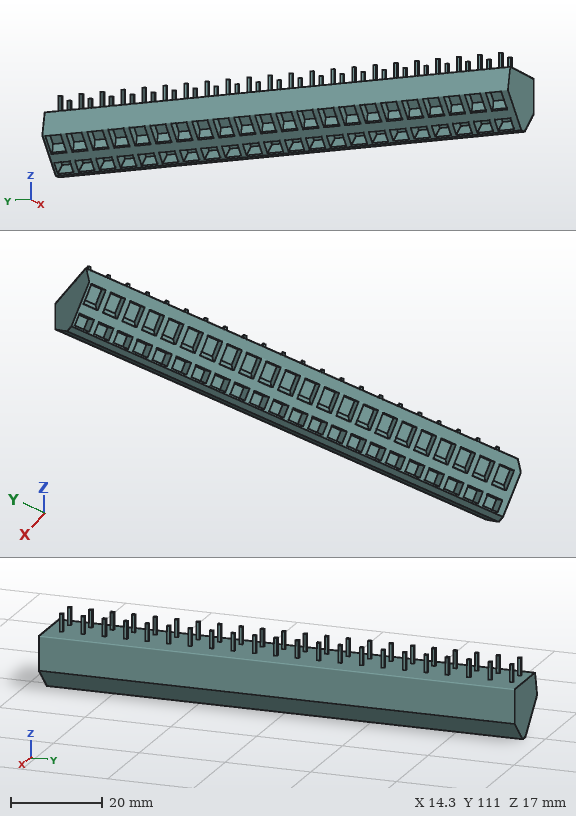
import cadquery as cq
import math


body_width = 14.296
body_length = 111.0
body_height = 13.0
left_edge_depth = 5.55
left_lean = 13.5
edge_radius = 0.25
tip_width = 1.8

pole_count = 22
pole_pitch = 5.0
far_end_margin = 2.5
first_pin_x = 4.3
pin_row_spacing = 5.0
pin_size = 0.7
pin_length = 4.0

lower_hole_width = 3.75
upper_pocket_width = 3.65
lower_hole_margin = 0.45
lower_hole_size = 2.85
lower_hole_depth = 3.5
upper_pocket_margin = 0.2
upper_pocket_size = 4.75
upper_pocket_depth = 2.4
upper_pocket_step = 0.7
upper_wall_taper = 32.5

slope_drop = body_height - left_edge_depth
tip_left_x = slope_drop
tip_right_x = tip_left_x + tip_width
right_edge_z = -body_height + (body_width - tip_right_x)
slope_length = slope_drop * math.sqrt(2)
first_pole_y = body_length - far_end_margin - (pole_count - 1) * pole_pitch
pole_positions = [first_pole_y + i * pole_pitch for i in range(pole_count)]


def prism(points, start_y, length):
    """Extrude an XZ outline along +Y from start_y."""
    plane = cq.Plane(origin=(0, start_y, 0), xDir=(1, 0, 0), normal=(0, -1, 0))
    return cq.Workplane(plane).polyline(points).close().extrude(-length)


def slope_point(along, depth):
    """XZ point from the widest left edge: distance down the slope, depth into the body."""
    x = (along + depth) / math.sqrt(2)
    z = -left_edge_depth + (depth - along) / math.sqrt(2)
    return x, z


def make_housing():
    top_left_x = left_edge_depth * math.tan(math.radians(left_lean))
    outline = [
        (top_left_x, 0),
        (0, -left_edge_depth),
        (tip_left_x, -body_height),
        (tip_right_x, -body_height),
        (body_width, right_edge_z),
        (body_width, 0),
    ]
    housing = prism(outline, 0, body_length)
    rounded = ((top_left_x, 0), (0, -left_edge_depth), (body_width, 0))
    for x, z in rounded:
        long_edge = cq.selectors.NearestToPointSelector((x, body_length / 2, z))
        housing = housing.edges(long_edge).fillet(edge_radius)
    return housing


def make_openings(outline, width):
    """One opening per pole, cut to an outline of (along, depth) slope points."""
    points = [slope_point(along, depth) for along, depth in outline]
    openings = cq.Workplane("XY")
    for y in pole_positions:
        openings = openings.add(prism(points, y - width / 2, width))
    return openings.combine(glue=True)


def make_lower_holes():
    end = slope_length - lower_hole_margin
    start = end - lower_hole_size
    outline = [(start, 0), (end, 0), (end, lower_hole_depth), (start, lower_hole_depth)]
    return make_openings(outline, lower_hole_width)


def make_upper_pockets():
    start = upper_pocket_margin
    end = start + upper_pocket_size
    taper_depth = upper_pocket_depth - upper_pocket_step
    floor_end = end - taper_depth * math.tan(math.radians(upper_wall_taper))
    outline = [
        (start, 0),
        (end, 0),
        (end, upper_pocket_step),
        (floor_end, upper_pocket_depth),
        (start, upper_pocket_depth),
    ]
    return make_openings(outline, upper_pocket_width)


def make_pins():
    pin_xs = (first_pin_x, first_pin_x + pin_row_spacing)
    centres = [(x, y) for x in pin_xs for y in pole_positions]
    return cq.Workplane("XY").pushPoints(centres).rect(pin_size, pin_size).extrude(pin_length)


result = make_housing().cut(make_lower_holes()).cut(make_upper_pockets()).union(make_pins())